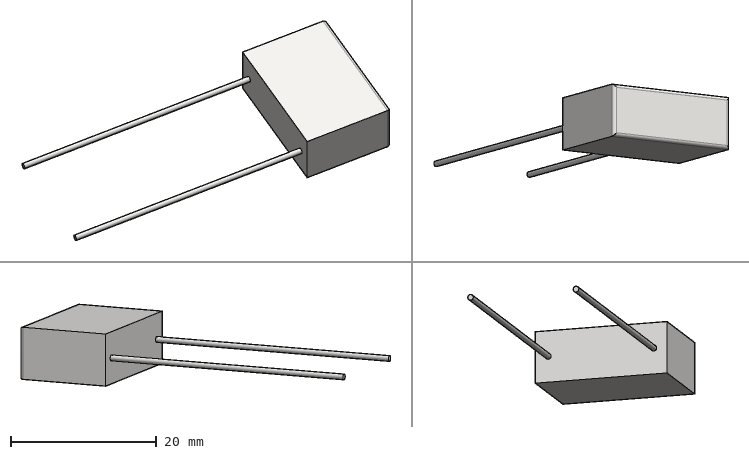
import cadquery as cq

overall_length = 48.0

housing_width = 19.0
housing_depth = 12.95
housing_height = 7.3
rear_edge_radius = 0.5

lead_diameter = 0.8
lead_spacing = 15.2
lead_length = overall_length - housing_depth


def make_housing():
    """Solid block from the front face at Y = 0 backwards, with its four rear edges rounded."""
    block = cq.Workplane("XY").box(
        housing_width, housing_depth, housing_height, centered=(True, False, True)
    )
    return block.faces(">Y").edges().fillet(rear_edge_radius)


def make_lead(x_position):
    """Straight round wire that starts on the front face of the housing and points to -Y."""
    return (
        cq.Workplane("XZ")
        .center(x_position, 0)
        .circle(lead_diameter / 2)
        .extrude(lead_length)
    )


housing = make_housing()

leads = []
for side in (-1, 1):
    lead = make_lead(side * lead_spacing / 2)
    leads.append(lead.val())

result = cq.Compound.makeCompound([housing.val(), *leads])